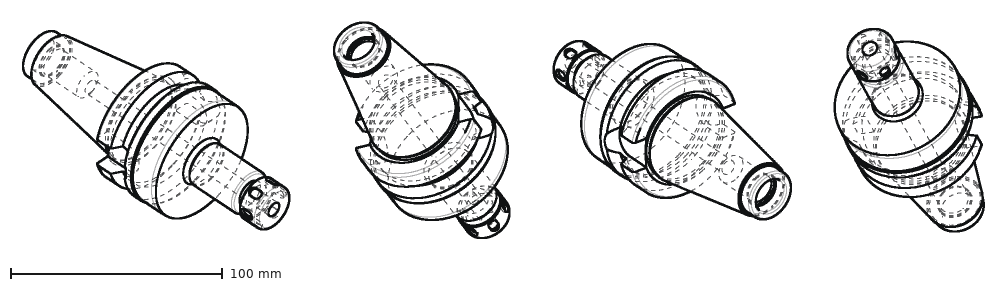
import cadquery as cq
import math

total_length = 155.4

pilot_dia = 25.0
pilot_length = 6.8
pilot_edge_radius = 1.0

taper_rate = 7 / 24
taper_end_x = 65.1
taper_large_dia = 44.5
taper_edge_chamfer = 0.5

relief_dia = 43.5
relief_start_x = 66.2
relief_mouth_dia = 48.3
relief_depth = 1.2

flange_dia = 63.0
flange_face_x = 67.1
flange_edge_radius = 1.2
flange_end_x = 91.4
groove_root_dia = 52.8
groove_center_x = 81.9
groove_root_width = 4.4
groove_wall_angle = 30.0

body_dia = 62.0
body_end_dia = 61.7
body_end_x = 107.4
body_step_length = 1.0
body_end_taper_length = 2.8

nose_dia = 23.0
nose_relief_dia = 22.5
nose_root_dia = 25.0
nose_root_length = 2.8
nose_end_x = 139.4
nose_end_radius = 1.0
nose_step_length = 0.5

neck_dia = 14.0
nut_start_x = 143.7
nut_dia = nose_dia
nut_rear_chamfer = 0.5
nut_front_radius = 1.7

nut_slot_count = 6
nut_slot_length = 7.0
nut_slot_width = 4.5
nut_slot_depth = 1.5
nut_slot_center_x = 148.7

keyway_width = 16.0
keyway_floor = 22.7
keyway_arc_center_x = 80.2

through_dia = 7.3
counterbore_dia = 17.0
counterbore_depth = 7.1
bore_mouth_radius = 1.0
recess_dia = 16.0
recess_depth = 8.1
thread_dia = 14.3
thread_end_depth = 31.1
drill_tip_half_angle = 59.0


def turned_body():
    """Outer profile revolved about the X axis."""
    pilot_r = pilot_dia / 2
    taper_r = taper_large_dia / 2
    flange_r = flange_dia / 2
    root_r = groove_root_dia / 2
    body_r = body_dia / 2
    nose_r = nose_dia / 2
    nose_relief_r = nose_relief_dia / 2
    nose_root_r = nose_root_dia / 2
    neck_r = neck_dia / 2
    nut_r = nut_dia / 2

    taper_start_r = taper_r - (taper_end_x - pilot_length) * taper_rate / 2
    half_root = groove_root_width / 2
    half_mouth = half_root + (flange_r - root_r) * math.tan(math.radians(groove_wall_angle))

    fillet_rise = nose_root_r - nose_relief_r
    fillet_radius = (nose_root_length ** 2 + fillet_rise ** 2) / (2 * fillet_rise)
    nose_root_x = body_end_x + nose_root_length

    flange_arc_tip = (flange_face_x + flange_edge_radius, flange_r)
    nut_arc_tip = (total_length, nut_r - nut_front_radius)

    profile = (
        cq.Workplane("XY")
        .moveTo(0, 0)
        .lineTo(0, pilot_r - pilot_edge_radius)
        .radiusArc((pilot_edge_radius, pilot_r), pilot_edge_radius)
        .lineTo(pilot_length, pilot_r)
        .lineTo(pilot_length, taper_start_r - taper_edge_chamfer)
        .lineTo(pilot_length + taper_edge_chamfer, taper_start_r + taper_edge_chamfer * taper_rate / 2)
        .lineTo(taper_end_x, taper_r)
        .lineTo(relief_start_x, relief_dia / 2)
        .lineTo(flange_face_x + relief_depth, relief_dia / 2)
        .lineTo(flange_face_x, relief_mouth_dia / 2)
        .lineTo(flange_face_x, flange_r - flange_edge_radius)
        .radiusArc(flange_arc_tip, flange_edge_radius)
        .lineTo(groove_center_x - half_mouth, flange_r)
        .lineTo(groove_center_x - half_root, root_r)
        .lineTo(groove_center_x + half_root, root_r)
        .lineTo(groove_center_x + half_mouth, flange_r)
        .lineTo(flange_end_x, flange_r)
        .lineTo(flange_end_x + body_step_length, body_r)
        .lineTo(body_end_x - body_end_taper_length, body_r)
        .lineTo(body_end_x, body_end_dia / 2)
        .lineTo(body_end_x, nose_root_r)
        .radiusArc((nose_root_x, nose_relief_r), -fillet_radius)
        .lineTo(nose_root_x + nose_step_length, nose_r)
        .lineTo(nose_end_x - nose_end_radius, nose_r)
        .radiusArc((nose_end_x, nose_r - nose_end_radius), nose_end_radius)
        .lineTo(nose_end_x, neck_r)
        .lineTo(nut_start_x, neck_r)
        .lineTo(nut_start_x, nut_r - nut_rear_chamfer)
        .lineTo(nut_start_x + nut_rear_chamfer, nut_r)
        .lineTo(total_length - nut_front_radius, nut_r)
        .radiusArc(nut_arc_tip, nut_front_radius)
        .lineTo(total_length, 0)
        .close()
    )
    return profile.revolve(360, (0, 0, 0), (1, 0, 0))


def bore():
    """Stepped hole: rounded counterbore, recess, threaded hole with drill tip, through hole."""
    through_r = through_dia / 2
    counterbore_r = counterbore_dia / 2
    thread_r = thread_dia / 2
    recess_r = recess_dia / 2
    thread_chamfer = recess_r - thread_r
    tip_length = (thread_r - through_r) / math.tan(math.radians(drill_tip_half_angle))
    profile = (
        cq.Workplane("XY")
        .moveTo(0, 0)
        .lineTo(0, counterbore_r + bore_mouth_radius)
        .radiusArc((bore_mouth_radius, counterbore_r), -bore_mouth_radius)
        .lineTo(counterbore_depth, counterbore_r)
        .lineTo(counterbore_depth, recess_r)
        .lineTo(recess_depth, recess_r)
        .lineTo(recess_depth + thread_chamfer, thread_r)
        .lineTo(thread_end_depth, thread_r)
        .lineTo(thread_end_depth + tip_length, through_r)
        .lineTo(total_length, through_r)
        .lineTo(total_length, 0)
        .close()
    )
    return profile.revolve(360, (0, 0, 0), (1, 0, 0))


def keyway(side):
    """Round-ended drive keyway, open at the flange face; side is +1 or -1 along Y."""
    half_width = keyway_width / 2
    depth = flange_dia / 2 - keyway_floor
    outline = (
        cq.Workplane("XZ", origin=(0, side * keyway_floor, 0))
        .moveTo(relief_start_x, -half_width)
        .lineTo(keyway_arc_center_x, -half_width)
        .threePointArc((keyway_arc_center_x + half_width, 0), (keyway_arc_center_x, half_width))
        .lineTo(relief_start_x, half_width)
        .close()
    )
    return outline.extrude(-side * depth)


def nut_slot(angle):
    """Flat-bottomed wrench slot, turned about the X axis from the +Y side."""
    floor = nut_dia / 2 - nut_slot_depth
    slot = (
        cq.Workplane("XZ", origin=(nut_slot_center_x, floor, 0))
        .slot2D(nut_slot_length, nut_slot_width)
        .extrude(-2 * nut_slot_depth)
    )
    return slot.rotate((0, 0, 0), (1, 0, 0), angle)


result = turned_body().cut(bore())
for keyway_side in (-1, 1):
    result = result.cut(keyway(keyway_side))
for slot_index in range(nut_slot_count):
    result = result.cut(nut_slot(slot_index * 360 / nut_slot_count))